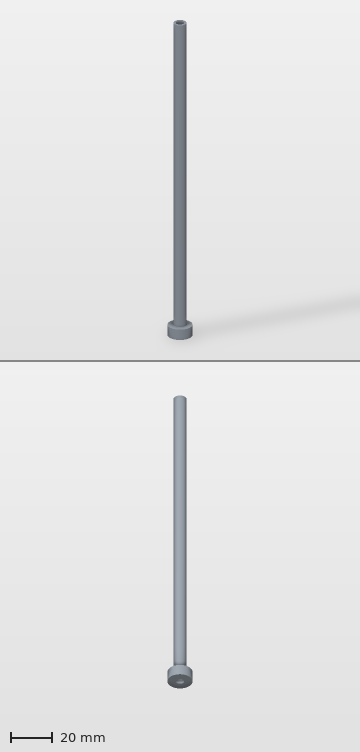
import cadquery as cq

total_length = 165.0
head_diameter = 12.0
head_height = 5.5
shaft_diameter = 6.5
bore_diameter = 4.0
neck_fillet = 0.3

head = cq.Workplane("XY").circle(head_diameter / 2).extrude(head_height)
shaft = cq.Workplane("XY").circle(shaft_diameter / 2).extrude(total_length)
body = head.union(shaft)

head_top = body.faces("%Plane and (not >Z) and (not <Z)")
neck_edge = head_top.edges(cq.selectors.RadiusNthSelector(0))
body = neck_edge.fillet(neck_fillet)

bore = cq.Workplane("XY").circle(bore_diameter / 2).extrude(total_length)
result = body.cut(bore)